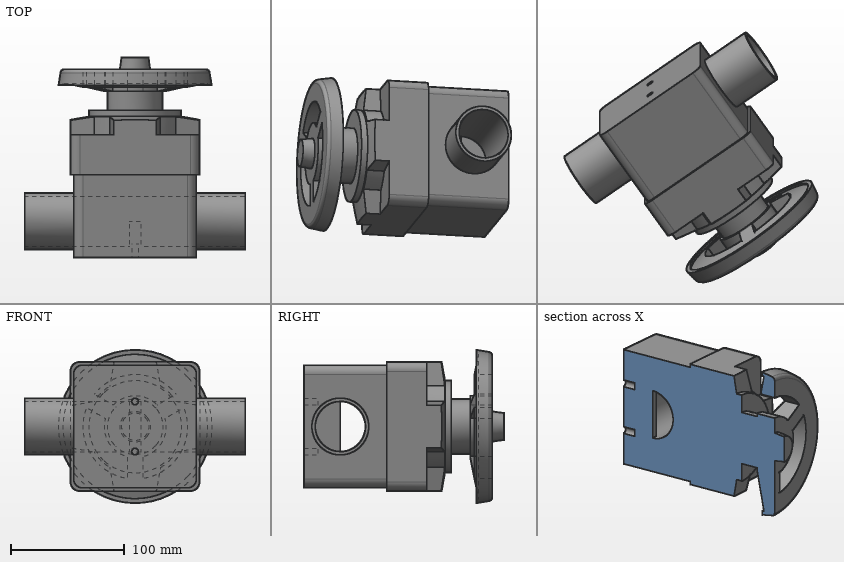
import cadquery as cq
import math


pipe_length = 194.0
pipe_diameter = 50.0
bore_diameter = 44.0
weir_thickness = 10.0
body_width = 108.0
body_base_y = -32.0
corner_radius = 8.0

mount_hole_diameter = 5.8
mount_hole_spacing = 44.0
mount_hole_depth = 12.0

bonnet_width = 113.6
bonnet_base_y = 40.8
shoulder_y = 76.2
pad_end_half_width = 18.6
pad_flare_angle = 10.0
core_diameter = 84.6
pad_corner_y = 88.7

flange_diameter = 81.3
flange_base_y = 92.1
flange_top_y = 97.6
neck_diameter = 48.8

wheel_diameter = 135.0
wheel_top_diameter = 130.4
wheel_base_y = 119.7
wheel_top_y = 133.7
wheel_edge_radius = 3.6
lip_inner_radius = 63.5
lip_depth = 1.8
hub_radius = 27.2
hub_base_y = 114.1
window_outer_radius = 46.0
spoke_width = 13.7
spoke_count = 3
first_spoke_angle = 30.0

cap_base_diameter = 26.8
cap_top_diameter = 24.0
cap_top_y = 144.0


def plane_at(y):
    """Sketch plane facing +Y at height y; sketch x is part X, sketch y is part -Z."""
    return cq.Workplane(cq.Plane(origin=(0, y, 0), xDir=(1, 0, 0), normal=(0, 1, 0)))


def cylinder(diameter, base_y, top_y):
    return plane_at(base_y).circle(diameter / 2).extrude(top_y - base_y)


def rounded_block(width, base_y, top_y):
    block = plane_at(base_y).rect(width, width).extrude(top_y - base_y)
    return block.edges("|Y").fillet(corner_radius)


def revolved(profile_points):
    """Solid turned about the spindle axis from (radius, y) points."""
    return cq.Workplane("XY").polyline(profile_points).close().revolve(360, (0, 0), (0, 1))


def pipe_along_x(diameter, length):
    return cq.Workplane("YZ").circle(diameter / 2).extrude(length / 2, both=True)


def make_body():
    body = rounded_block(body_width, body_base_y, bonnet_base_y)
    return body.union(pipe_along_x(pipe_diameter, pipe_length))


def make_bore():
    """Pipe bore, interrupted at mid-length by a weir that fills its -Y half."""
    bore = pipe_along_x(bore_diameter, pipe_length)
    weir = cq.Workplane("XY").box(weir_thickness, bore_diameter, bore_diameter)
    return bore.cut(weir.translate((0, -bore_diameter / 2, 0)))


def make_mount_holes():
    hole = cylinder(mount_hole_diameter, body_base_y, body_base_y + mount_hole_depth)
    offset = mount_hole_spacing / 2
    return hole.translate((0, 0, offset)).union(hole.translate((0, 0, -offset)))


def make_pads():
    """Cross of four pads, joined by a round core and topped by a shallow cone."""
    pad_end = bonnet_width / 2
    flare = math.tan(math.radians(pad_flare_angle))
    inner_corner = (pad_end_half_width + flare * pad_end) / (1 + flare)
    outline = []
    for quarter in range(4):
        cos_q = round(math.cos(quarter * math.pi / 2))
        sin_q = round(math.sin(quarter * math.pi / 2))
        for x, y in (
            (pad_end, -pad_end_half_width),
            (pad_end, pad_end_half_width),
            (inner_corner, inner_corner),
        ):
            outline.append((x * cos_q - y * sin_q, x * sin_q + y * cos_q))
    cross = plane_at(shoulder_y).polyline(outline).close().extrude(flange_base_y - shoulder_y)
    cross = cross.union(cylinder(core_diameter, shoulder_y, flange_base_y))

    flange_radius = flange_diameter / 2
    pad_corner_radius = math.hypot(pad_end, pad_end_half_width)
    envelope = revolved(
        [
            (0, shoulder_y),
            (pad_corner_radius, shoulder_y),
            (pad_corner_radius, pad_corner_y),
            (flange_radius, flange_base_y),
            (0, flange_base_y),
        ]
    )
    return cross.intersect(envelope)


def make_bonnet():
    bonnet = rounded_block(bonnet_width, bonnet_base_y, shoulder_y).union(make_pads())
    bonnet = bonnet.union(cylinder(flange_diameter, flange_base_y, flange_top_y))
    return bonnet.union(cylinder(neck_diameter, flange_top_y, wheel_top_y))


def make_wheel_windows():
    """Ring between hub and rim, divided by the parallel-sided spokes."""
    height = wheel_top_y - hub_base_y
    windows = plane_at(hub_base_y).circle(window_outer_radius).circle(hub_radius).extrude(height)
    for index in range(spoke_count):
        spoke = cq.Workplane("XY").box(
            wheel_diameter / 2, height, spoke_width, centered=(False, False, True)
        )
        angle = first_spoke_angle + index * 360 / spoke_count
        spoke = spoke.translate((0, hub_base_y, 0)).rotate((0, 0, 0), (0, 1, 0), -angle)
        windows = windows.cut(spoke)
    return windows


def make_wheel():
    """Tapered rim with a dished web that slopes down to the hub."""
    wheel = revolved(
        [
            (0, hub_base_y),
            (hub_radius, hub_base_y),
            (lip_inner_radius, wheel_base_y + lip_depth),
            (lip_inner_radius, wheel_base_y),
            (wheel_diameter / 2, wheel_base_y),
            (wheel_top_diameter / 2, wheel_top_y),
            (0, wheel_top_y),
        ]
    )
    wheel = wheel.faces(">Y").edges().fillet(wheel_edge_radius)
    return wheel.cut(make_wheel_windows())


def make_cap():
    return revolved(
        [
            (0, wheel_top_y),
            (cap_base_diameter / 2, wheel_top_y),
            (cap_top_diameter / 2, cap_top_y),
            (0, cap_top_y),
        ]
    )


valve = make_body().cut(make_bore()).cut(make_mount_holes())
result = valve.union(make_bonnet()).union(make_wheel()).union(make_cap())